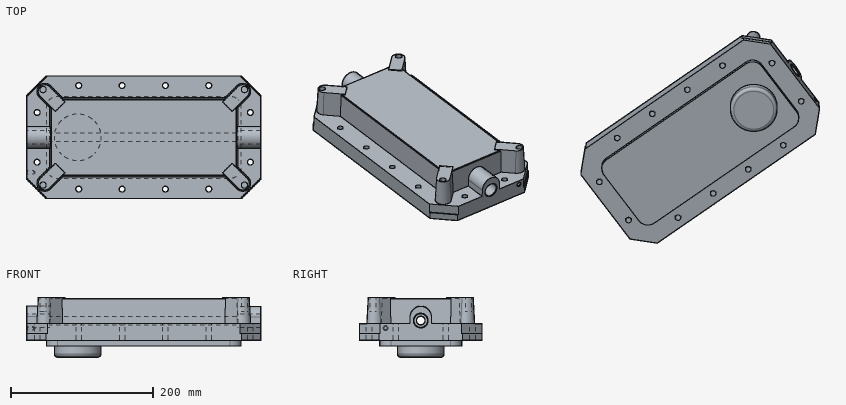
import cadquery as cq
import math

length = 330.0
width = 173.0

base_plate_bottom = 16.0
flange_bottom = 23.8
flange_split = 33.5
flange_top = 47.5
housing_top = 83.0
lug_top = 84.5

draft = 3.0

lower_corner_cut = 27.5
upper_corner_cut = 29.5

bolt_diameter = 8.0
bolt_pitch = 61.0
side_bolt_count = 4
side_bolt_y = 73.0
end_bolt_x = 150.0
end_bolt_y = 35.0

housing_foot_length = 265.3
housing_foot_width = 111.5
housing_edge_chamfer = 1.0

base_plate_length = 274.5
base_plate_width = 115.5
base_plate_corner_radius = 16.0
cap_diameter = 66.0
cap_x = -93.0
cap_edge_radius = 5.0

lug_width = 18.8
lug_end_x = 139.3
lug_end_y = 64.7
lug_length = 30.5
lug_hole_diameter = 9.0
lug_hole_offset = 3.5
lug_hole_depth = 19.8

boss_diameter = 30.0
left_boss_axis_z = 57.5
right_boss_axis_z = 56.8
bore_z = 51.8
through_bore_diameter = 12.0
socket_diameter = 19.0
socket_chamfer = 0.82

ground_hole_y = -49.5
ground_hole_z = 41.2
ground_hole_diameter = 5.0
ground_hole_depth = 10.0
ground_hole_chamfer = 1.0


def octagon(corner_cut, bottom, top):
    block = cq.Workplane("XY", origin=(0, 0, bottom)).rect(length, width).extrude(top - bottom)
    return block.edges("|Z").chamfer(corner_cut)


def housing():
    block = cq.Workplane("XY", origin=(0, 0, flange_top)).rect(housing_foot_length, housing_foot_width)
    block = block.extrude(housing_top - flange_top, taper=draft)
    return block.faces(">Z").chamfer(housing_edge_chamfer)


def base_plate():
    plate = cq.Workplane("XY", origin=(0, 0, base_plate_bottom)).rect(base_plate_length, base_plate_width)
    return plate.extrude(flange_bottom - base_plate_bottom).edges("|Z").fillet(base_plate_corner_radius)


def round_cap():
    cap = cq.Workplane("XY").center(cap_x, 0).circle(cap_diameter / 2).extrude(base_plate_bottom)
    return cap.faces("<Z").edges().fillet(cap_edge_radius)


def lug_plane(side_x, side_y):
    """Plane on a lug's top, at the centre of its rounded end, local X pointing outward along the lug."""
    return cq.Plane(
        origin=(side_x * lug_end_x, side_y * lug_end_y, lug_top),
        xDir=(side_x, side_y, 0),
        normal=(0, 0, 1),
    )


def lug(side_x, side_y):
    half = lug_width / 2
    outline = (
        cq.Workplane(lug_plane(side_x, side_y))
        .moveTo(-lug_length, half)
        .lineTo(-lug_length, -half)
        .lineTo(0, -half)
        .threePointArc((half, 0), (0, half))
        .close()
    )
    return outline.extrude(flange_top - lug_top, taper=-draft)


def lug_hole(side_x, side_y):
    hole = cq.Workplane(lug_plane(side_x, side_y)).center(lug_hole_offset, 0).circle(lug_hole_diameter / 2)
    return hole.extrude(-lug_hole_depth)


def boss(side_x, axis_z):
    """Arch-topped boss running from the end face into the housing, its straight flanks drafted outward."""
    radius = boss_diameter / 2
    foot = radius + (axis_z - flange_top) * math.tan(math.radians(draft))
    arch = (
        cq.Workplane("YZ")
        .moveTo(-foot, flange_top)
        .lineTo(-radius, axis_z)
        .threePointArc((0, axis_z + radius), (radius, axis_z))
        .lineTo(foot, flange_top)
        .close()
    )
    return arch.extrude(side_x * length / 2)


def socket(side_x):
    """Chamfered socket in the end of a boss, as deep as the boss is long."""
    depth = (length - housing_foot_length) / 2
    face = cq.Plane(origin=(side_x * length / 2, 0, bore_z), xDir=(0, 1, 0), normal=(side_x, 0, 0))
    bore = cq.Workplane(face).circle(socket_diameter / 2).extrude(-depth)
    mouth = cq.Workplane(face).circle(socket_diameter / 2 + socket_chamfer)
    return bore.union(mouth.extrude(-socket_chamfer, taper=45))


def ground_hole():
    """Blind hole with a chamfered mouth and a 90 degree conical bottom."""
    radius = ground_hole_diameter / 2
    profile = [
        (0, 0),
        (0, radius + ground_hole_chamfer),
        (ground_hole_chamfer, radius),
        (ground_hole_depth, radius),
        (ground_hole_depth + radius, 0),
    ]
    hole = cq.Workplane("XY").polyline(profile).close().revolve(360, (0, 0, 0), (1, 0, 0))
    return hole.translate((-length / 2, ground_hole_y, ground_hole_z))


corners = [(side_x, side_y) for side_x in (-1, 1) for side_y in (-1, 1)]

result = octagon(lower_corner_cut, flange_bottom, flange_split)
result = result.union(octagon(upper_corner_cut, flange_split, flange_top))
result = result.union(housing()).union(base_plate()).union(round_cap())
result = result.union(boss(-1, left_boss_axis_z)).union(boss(1, right_boss_axis_z))
for corner in corners:
    result = result.union(lug(*corner))

for corner in corners:
    result = result.cut(lug_hole(*corner))

first_bolt_x = -bolt_pitch * (side_bolt_count - 1) / 2
side_bolts = [
    (first_bolt_x + i * bolt_pitch, side * side_bolt_y) for i in range(side_bolt_count) for side in (-1, 1)
]
end_bolts = [(side_x * end_bolt_x, side_y * end_bolt_y) for side_x, side_y in corners]
bolt_holes = cq.Workplane("XY").pushPoints(side_bolts + end_bolts).circle(bolt_diameter / 2).extrude(lug_top)
result = result.cut(bolt_holes)

through_bore = cq.Workplane("YZ", origin=(0, 0, bore_z)).circle(through_bore_diameter / 2)
result = result.cut(through_bore.extrude(length / 2, both=True))
result = result.cut(socket(-1)).cut(socket(1))
result = result.cut(ground_hole())